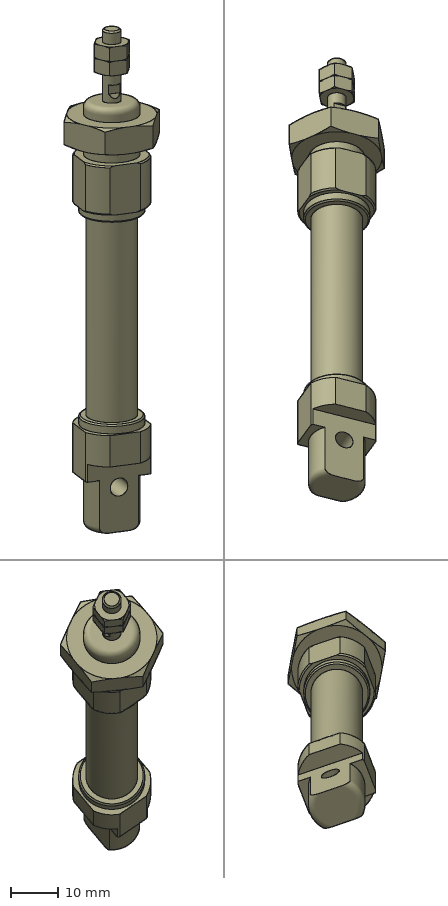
import cadquery as cq
import math

TOTAL_HEIGHT = 111.0
TAIL_TOP = 12.0
REAR_FLAT_TOP = 16.0
REAR_CAP_TOP = 23.0
REAR_SHOULDER_TOP = 25.0
FRONT_SHOULDER_BOTTOM = 70.0
FRONT_CAP_BOTTOM = 72.0
FRONT_CAP_TOP = 83.0
MOUNT_NUT_BOTTOM = 86.0
COLLAR_TOP = 95.0
ROD_NUT_STACK_BOTTOM = 101.7

BARREL_DIAMETER = 11.0
SHOULDER_DIAMETER = 14.0
SHOULDER_CHAMFER = 0.3
CAP_ACROSS_FLATS = 15.0
CAP_CORNER_DIAMETER = 16.5
CAP_CHAMFER = 0.3
NECK_DIAMETER = 12.0
COLLAR_ROUNDING = 1.4
TAIL_THICKNESS = 8.0
TAIL_ROUNDING = 1.4
PIVOT_HOLE_DIAMETER = 4.0
PIVOT_HOLE_HEIGHT = 10.0

ROD_DIAMETER = 4.0
ROD_TIP_DIAMETER = 3.2
ROD_BOTTOM = FRONT_SHOULDER_BOTTOM
WRENCH_ACROSS_FLATS = 3.0
WRENCH_FLAT_BOTTOM = 97.0
WRENCH_FLAT_TOP = 99.0
WRENCH_RUNOUT = 1.0

MOUNT_NUT_ACROSS_FLATS = 19.0
MOUNT_NUT_FACE_DIAMETER = 19.1
MOUNT_NUT_HEIGHT = 6.0
ROD_NUT_ACROSS_FLATS = 7.0
ROD_NUT_FACE_DIAMETER = 7.2
ROD_NUT_HEIGHT = 3.2
ROD_NUT_COUNT = 2
NUT_CHAMFER_ANGLE = 20.0


def cylinder(diameter, bottom, top):
    """Upright cylinder on the Z axis between two heights."""
    return cq.Workplane("XY").workplane(offset=bottom).circle(diameter / 2).extrude(top - bottom)


def block(size_x, size_y, bottom, top):
    """Upright block centred on the Z axis between two heights."""
    return cq.Workplane("XY").workplane(offset=bottom).rect(size_x, size_y).extrude(top - bottom)


def cap(bottom, top, chamfered_edges=None):
    """Square end cap with its four corners turned round."""
    turned = cylinder(CAP_CORNER_DIAMETER, bottom, top)
    if chamfered_edges:
        turned = turned.edges(chamfered_edges).chamfer(CAP_CHAMFER)
    return turned.intersect(block(CAP_ACROSS_FLATS, CAP_ACROSS_FLATS, bottom, top))


def make_rear_cap():
    """Rear cap: its lower part is cut down to the thickness of the tail."""
    upper = cap(REAR_FLAT_TOP, REAR_CAP_TOP)
    lower = cap(TAIL_TOP, REAR_FLAT_TOP).intersect(
        block(TAIL_THICKNESS, CAP_CORNER_DIAMETER, TAIL_TOP, REAR_FLAT_TOP)
    )
    return upper.union(lower)


def make_tail():
    """Flattened round tail with a rounded end."""
    tail = cylinder(NECK_DIAMETER, 0, TAIL_TOP).faces("<Z").edges().fillet(TAIL_ROUNDING)
    return tail.intersect(block(TAIL_THICKNESS, NECK_DIAMETER, 0, TAIL_TOP))


def make_housing():
    """Barrel with both end caps, front collar, tail, pivot hole and rod bore."""
    rear_shoulder = cylinder(SHOULDER_DIAMETER, REAR_CAP_TOP, REAR_SHOULDER_TOP)
    rear_shoulder = rear_shoulder.faces(">Z").edges().chamfer(SHOULDER_CHAMFER)
    front_shoulder = cylinder(SHOULDER_DIAMETER, FRONT_SHOULDER_BOTTOM, FRONT_CAP_BOTTOM)
    front_shoulder = front_shoulder.faces("<Z").edges().chamfer(SHOULDER_CHAMFER)
    collar = cylinder(NECK_DIAMETER, FRONT_CAP_TOP, COLLAR_TOP)
    collar = collar.faces(">Z").edges().fillet(COLLAR_ROUNDING)

    housing = make_tail().union(make_rear_cap()).union(rear_shoulder)
    housing = housing.union(cylinder(BARREL_DIAMETER, REAR_SHOULDER_TOP, FRONT_SHOULDER_BOTTOM))
    housing = housing.union(front_shoulder)
    housing = housing.union(cap(FRONT_CAP_BOTTOM, FRONT_CAP_TOP, "%CIRCLE"))
    housing = housing.union(collar)

    pivot_hole = (
        cq.Workplane("YZ")
        .center(0, PIVOT_HOLE_HEIGHT)
        .circle(PIVOT_HOLE_DIAMETER / 2)
        .extrude(NECK_DIAMETER, both=True)
    )
    rod_bore = cylinder(ROD_DIAMETER, ROD_BOTTOM, COLLAR_TOP)
    return housing.cut(pivot_hole).cut(rod_bore)


def make_rod():
    """Piston rod with a chamfered tip and two wrench flats with sloped run-outs."""
    rod_radius = ROD_DIAMETER / 2
    flat_offset = WRENCH_ACROSS_FLATS / 2
    tip_chamfer = (ROD_DIAMETER - ROD_TIP_DIAMETER) / 2
    rod = cylinder(ROD_DIAMETER, ROD_BOTTOM, TOTAL_HEIGHT).faces(">Z").edges().chamfer(tip_chamfer)
    wrench_cut = (
        cq.Workplane("XZ")
        .moveTo(flat_offset, WRENCH_FLAT_TOP)
        .lineTo(rod_radius, WRENCH_FLAT_TOP)
        .lineTo(rod_radius, WRENCH_FLAT_BOTTOM - WRENCH_RUNOUT)
        .lineTo(flat_offset, WRENCH_FLAT_BOTTOM)
        .close()
        .extrude(ROD_DIAMETER, both=True)
    )
    return rod.cut(wrench_cut).cut(wrench_cut.mirror("YZ"))


def make_nut(across_flats, face_diameter, height, bore_diameter, bottom):
    """Hexagon nut with two corners along Y, chamfered down to a round face at both ends."""
    top = bottom + height
    face_radius = face_diameter / 2
    corner_radius = across_flats / math.sqrt(3)
    chamfer_height = (corner_radius - face_radius) * math.tan(math.radians(NUT_CHAMFER_ANGLE))
    hexagon = (
        cq.Workplane("XY")
        .workplane(offset=bottom)
        .polygon(6, 2 * corner_radius)
        .extrude(height)
        .rotate((0, 0, 0), (0, 0, 1), 90)
    )
    chamfer_envelope = (
        cq.Workplane("XZ")
        .moveTo(0, bottom)
        .lineTo(face_radius, bottom)
        .lineTo(corner_radius, bottom + chamfer_height)
        .lineTo(corner_radius, top - chamfer_height)
        .lineTo(face_radius, top)
        .lineTo(0, top)
        .close()
        .revolve(360, (0, 0, 0), (0, 1, 0))
    )
    return hexagon.intersect(chamfer_envelope).cut(cylinder(bore_diameter, bottom, top))


housing = make_housing()
rod = make_rod()
mount_nut = make_nut(
    MOUNT_NUT_ACROSS_FLATS,
    MOUNT_NUT_FACE_DIAMETER,
    MOUNT_NUT_HEIGHT,
    NECK_DIAMETER,
    MOUNT_NUT_BOTTOM,
)
rod_nuts = [
    make_nut(
        ROD_NUT_ACROSS_FLATS,
        ROD_NUT_FACE_DIAMETER,
        ROD_NUT_HEIGHT,
        ROD_DIAMETER,
        ROD_NUT_STACK_BOTTOM + index * ROD_NUT_HEIGHT,
    )
    for index in range(ROD_NUT_COUNT)
]

result = cq.Compound.makeCompound(
    [housing.val(), rod.val(), mount_nut.val(), *[nut.val() for nut in rod_nuts]]
)